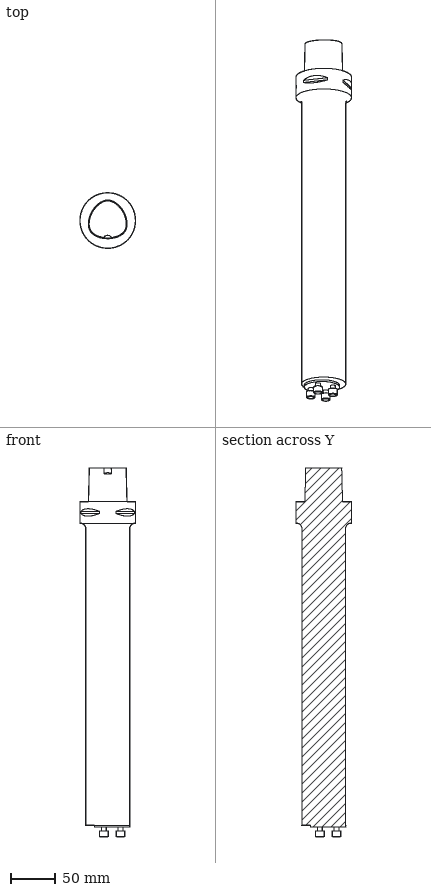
import cadquery as cq
import math

total_length = 417.0
shank_length = 38.0
flange_thickness = 24.5
pilot_bottom = 11.3
pilot_thickness = 2.0
flange_top = total_length - shank_length
flange_bottom = flange_top - flange_thickness
bar_bottom = pilot_bottom + pilot_thickness

flange_diameter = 63.0
bar_diameter = 50.0
neck_fillet = 6.0

polygon_base_diameter = 43.8
polygon_taper = 1 / 20
polygon_eccentricity = 1.3
polygon_top_diameter = polygon_base_diameter - shank_length * polygon_taper
flat_half_angle = 24.0

notch_diameter = 8.5
notch_depth = 3.0
notch_height = 6.5
notch_tilt = 15.0

groove_count = 4
groove_floor_distance = 28.0
groove_floor_width = 2.5
groove_wall_angle = 40.0
groove_height = (flange_top + flange_bottom) / 2

pilot_diameter = 40.0
pilot_offset = (bar_diameter - pilot_diameter) / 2
screw_spacing = 18.8
screw_shank_diameter = 6.0
screw_head_diameter = 10.0
screw_head_height = 7.0
screw_head_chamfer = 1.0


def make_body():
    """Flange and long bar, joined by a concave fillet under the flange."""
    flange_radius = flange_diameter / 2
    bar_radius = bar_diameter / 2
    sag = neck_fillet * (1 - math.sqrt(0.5))
    return (
        cq.Workplane("XZ")
        .moveTo(0, bar_bottom)
        .lineTo(bar_radius, bar_bottom)
        .lineTo(bar_radius, flange_bottom - neck_fillet)
        .threePointArc(
            (bar_radius + sag, flange_bottom - sag),
            (bar_radius + neck_fillet, flange_bottom),
        )
        .lineTo(flange_radius, flange_bottom)
        .lineTo(flange_radius, flange_top)
        .lineTo(0, flange_top)
        .close()
        .revolve(360, (0, 0), (0, 1))
    )


def polygon_wire(mean_diameter, height):
    """Closed three-lobed curve of constant width, split where flats and lobes meet."""

    def point(angle):
        radial = mean_diameter / 2 - polygon_eccentricity * math.cos(3 * angle)
        tangential = 3 * polygon_eccentricity * math.sin(3 * angle)
        outward = radial * math.cos(angle) - tangential * math.sin(angle)
        sideways = radial * math.sin(angle) + tangential * math.cos(angle)
        return cq.Vector(sideways, -outward, height)

    points_per_face = 9
    edges = []
    for flat_centre in (0, 120, 240):
        flat_start = flat_centre - flat_half_angle
        flat_end = flat_centre + flat_half_angle
        next_flat_start = flat_start + 120
        for start, end in ((flat_start, flat_end), (flat_end, next_flat_start)):
            step = (end - start) / (points_per_face - 1)
            angles = [math.radians(start + step * i) for i in range(points_per_face)]
            edges.append(cq.Edge.makeSpline([point(angle) for angle in angles]))
    return cq.Wire.assembleEdges(edges)


def make_shank():
    base = polygon_wire(polygon_base_diameter, flange_top)
    top = polygon_wire(polygon_top_diameter, total_length)
    return cq.Workplane(cq.Solid.makeLoft([base, top], True))


def make_notch():
    """Tilted cylinder cutter that breaks out of the shank top and its flat side."""
    flat_distance = polygon_top_diameter / 2 - polygon_eccentricity
    tilt = math.radians(notch_tilt)
    axis_at_top = cq.Vector(0, notch_depth - notch_diameter / 2 - flat_distance, total_length)
    axis = cq.Vector(0, -math.sin(tilt), math.cos(tilt))
    floor_centre = axis_at_top - axis * notch_height
    return cq.Workplane(
        cq.Solid.makeCylinder(notch_diameter / 2, 2 * notch_height, floor_centre, axis)
    )


def make_groove(angle):
    """Straight V-shaped cutter, square to the flange radius at the given angle."""
    depth = flange_diameter / 2 - groove_floor_distance
    half_floor = groove_floor_width / 2
    half_mouth = half_floor + depth * math.tan(math.radians(groove_wall_angle))
    outer = flange_diameter / 2
    return (
        cq.Workplane("XZ", origin=(0, 0, groove_height))
        .polyline([
            (groove_floor_distance, -half_floor),
            (outer, -half_mouth),
            (outer, half_mouth),
            (groove_floor_distance, half_floor),
        ])
        .close()
        .extrude(flange_diameter / 2, both=True)
        .rotate((0, 0, 0), (0, 0, 1), angle)
    )


def make_pilot():
    return (
        cq.Workplane("XY", origin=(pilot_offset, 0, pilot_bottom))
        .circle(pilot_diameter / 2)
        .extrude(pilot_thickness)
    )


def make_screws():
    centres = cq.Workplane("XY", origin=(pilot_offset, 0, 0)).rarray(screw_spacing, screw_spacing, 2, 2)
    heads = (
        centres.circle(screw_head_diameter / 2)
        .extrude(screw_head_height)
        .faces("<Z")
        .chamfer(screw_head_chamfer)
    )
    shanks = centres.circle(screw_shank_diameter / 2).extrude(bar_bottom)
    return heads.union(shanks)


result = make_body().union(make_shank()).cut(make_notch())
for index in range(groove_count):
    result = result.cut(make_groove(45 + index * 360 / groove_count))
result = result.union(make_pilot()).union(make_screws())